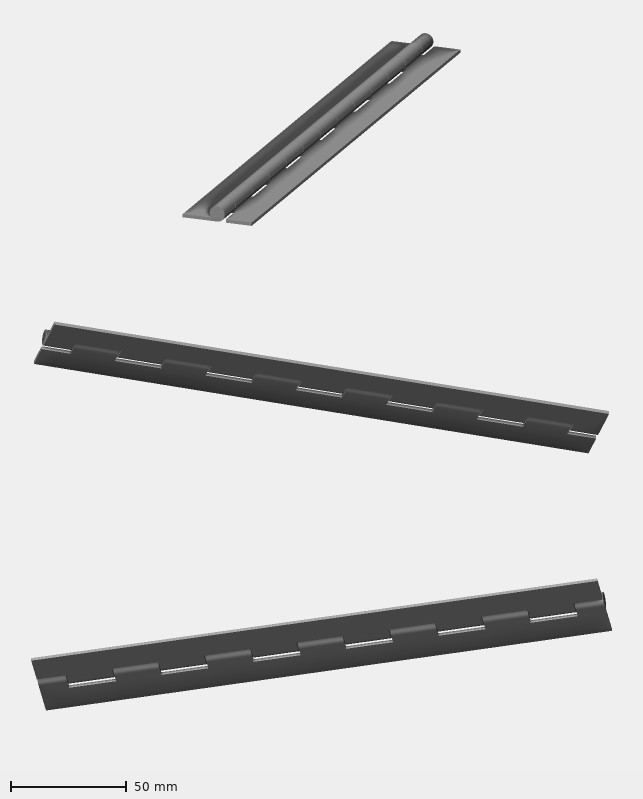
import cadquery as cq

length = 250.0
width = 32.0
leaf_thickness = 1.5
knuckle_radius = 3.5
pin_radius = 1.88
notch_clearance = 0.5
knuckle_length = 20.0
knuckle_gap = 0.4
knuckle_count = 13

axis_height = knuckle_radius
leaf_reach = width / 2
notch_edge = knuckle_radius + notch_clearance
knuckle_pitch = knuckle_length + knuckle_gap


def knuckle_span(index):
    """Start and end along Y of one knuckle; the end knuckles stop at the leaf ends."""
    middle = (index - (knuckle_count - 1) / 2) * knuckle_pitch
    start = max(middle - knuckle_length / 2, -length / 2)
    end = min(middle + knuckle_length / 2, length / 2)
    return start, end


def axial_cylinder(radius, start, end):
    """Cylinder on the hinge axis between two places along Y."""
    return (
        cq.Workplane("XZ", origin=(0, start, axis_height))
        .circle(radius)
        .extrude(start - end)
    )


def leaf_block(x_start, x_end, y_start, y_end):
    """Flat piece of leaf resting on Z = 0."""
    return cq.Workplane("XY").box(
        x_end - x_start, y_end - y_start, leaf_thickness, centered=False
    ).translate((x_start, y_start, 0))


def make_leaf(side, first_knuckle):
    """Leaf on one side of the axis (-1 left, 1 right) carrying every second knuckle."""
    inner, outer = sorted((side * notch_edge, side * leaf_reach))
    leaf = leaf_block(inner, outer, -length / 2, length / 2)
    for index in range(first_knuckle, knuckle_count, 2):
        start, end = knuckle_span(index)
        web_start, web_end = sorted((0, side * notch_edge))
        leaf = leaf.union(leaf_block(web_start, web_end, start, end))
        leaf = leaf.union(axial_cylinder(knuckle_radius, start, end))
    return leaf.cut(axial_cylinder(pin_radius, -length / 2, length / 2))


left_leaf = make_leaf(-1, 0)
right_leaf = make_leaf(1, 1)
pin = axial_cylinder(pin_radius, -length / 2, length / 2)

result = cq.Compound.makeCompound([left_leaf.val(), right_leaf.val(), pin.val()])